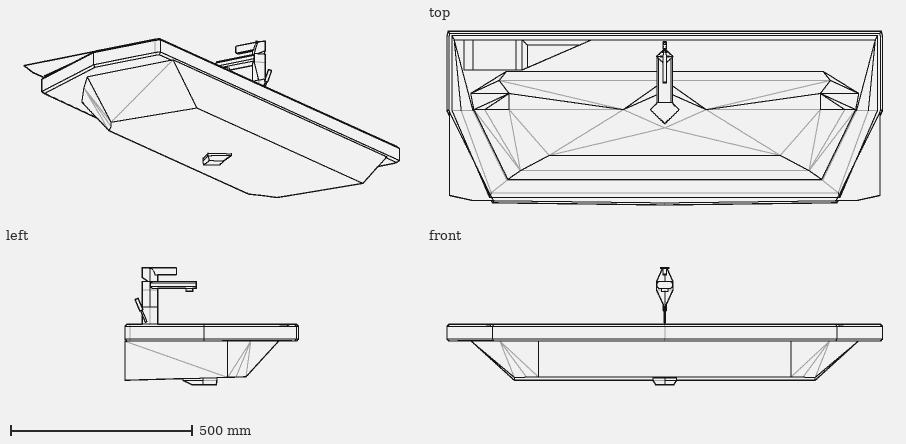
import cadquery as cq


half_width = 602.0
depth = 480.0
rim_height = 47.0
rim_chamfer = 6.0
corner_start_y = -219.0
front_half_width = 476.0
front_end_y = -475.0
back_corner_x = 4.0
back_corner_y = 15.0

sheet_thickness = 1.0
sheet_half_width = 595.0
sheet_bend_y = -454.0
sheet_tip_x = 530.0
sheet_front_y = -468.0
lower_sheet_start = (-572.0, -253.0)
lower_sheet_tip = (-566.0, -452.0)
lower_sheet_end = (-472.0, -461.0)

deck_z = -7.0
recess_half_width = 588.0
recess_back_y = -12.0
recess_front_half_width = 484.0
recess_front_y = -459.0
ledge_z = -5.0
ledge_half_width = 562.0
ledge_front_half_width = 479.0
ledge_front_y = -447.0
deck_half_width = 582.0
deck_back_y = -24.0
deck_side_half_width = 530.0
deck_front_half_width = 436.0
deck_front_y = -412.0

under_half_width = 535.0
under_side_y = -284.0
under_bend_x = 455.0
under_bend_y = -348.0
under_front_half_width = 349.0
under_front_y = -425.0
base_half_width = 415.0
base_bend_x = 382.0
base_bend_y = -307.0
base_front_y = -335.0
base_back_z = -155.0
base_front_z = -146.0

bowl_clearance = 6.0
drain_y = -217.0
drain_floor_z = -113.0
edge_back_x = 437.0
edge_back_y = -111.0
edge_corner_x = 536.0
edge_corner_y = -172.0
edge_side_x = 527.0
edge_front_x = 433.0
edge_front_y = -409.0
step_half_width = 458.0
step_y = -136.0
step_z = -30.0
wall_side_x = 497.0
wall_side_z = -40.0
wall_front_x = 399.0
wall_front_y = -385.0
wall_front_z = -37.0
floor_half_width = 430.0
floor_back_z = -72.0
floor_z = -78.0
floor_front_x = 319.0
floor_front_y = -343.0
panel_half_width = 114.0
panel_back_y = -166.0
panel_front_y = -267.0

opening_back_y = -24.0
opening_front_y = -107.0
opening_left_x = -554.0
opening_right_x = -202.0
block_left_x = -394.0
block_top_z = -17.0
block_chamfer = 15.0
opening_wall = 5.0

cap_radius = 40.0
cap_height = 5.0
flange_half_width = 33.0
flange_back_y = -160.0
flange_front_y = -255.0
drain_bottom_half_width = 25.0
drain_bottom_back_y = -185.0
drain_bottom_front_y = -253.0
drain_bottom_z = -167.0

tap_y = -70.0
tap_half_depth = 22.0
tap_half_width = 23.0
blade_half_width = 1.0
blade_top_z = 47.0
column_wide_z = 94.0
column_top_z = 118.0
spout_half_width = 22.0
spout_end_y = -197.0
spout_bottom_z = 99.0
spout_chamfer = 5.0
aerator_y = -178.0
aerator_radius = 10.0
aerator_bottom_z = 90.0
rod_top = (0, -33.0, 70.0)
rod_middle = (0, -46.0, 39.0)
rod_bottom = (0, -59.0, 6.0)
rod_grip_radius = 5.0
rod_radius = 2.0

lever_top_z = 157.0
lever_half_width = 5.4
lever_end_y = -143.0
lever_bottom_z = 136.0
lever_end_chamfer = 2.0
notch_front_y = -64.0
notch_back_z = 129.0
crossbar_half_length = 12.0
crossbar_size = 2.0


def mirrored(points):
    """Complete a right-hand outline, listed from back to front, with its left-hand half."""
    return points + [(-x, y) for x, y in reversed(points) if x > 0]


def prism(points, bottom_z, top_z):
    return cq.Workplane("XY").workplane(offset=bottom_z).polyline(points).close().extrude(top_z - bottom_z)


def ruled_loft(lower, lower_z, upper, upper_z):
    return (
        cq.Workplane("XY")
        .workplane(offset=lower_z)
        .polyline(lower)
        .close()
        .workplane(offset=upper_z - lower_z)
        .polyline(upper)
        .close()
        .loft(ruled=True)
    )


def faceted_solid(points, faces):
    """Solid bounded by flat triangles; each face is a list of point names and is split as a fan."""
    triangles = []
    for face in faces:
        for second, third in zip(face[1:-1], face[2:]):
            corners = [cq.Vector(*points[name]) for name in (face[0], second, third)]
            triangles.append(cq.Face.makeFromWires(cq.Wire.makePolygon(corners, close=True)))
    return cq.Workplane(obj=cq.Solid.makeSolid(cq.Shell.makeShell(triangles)))


def symmetric_faceted_solid(half_points, half_faces):
    """Faceted solid from its right half; points on X = 0 are shared by both halves."""
    points = dict(half_points)
    twin = {}
    for name, (x, y, z) in half_points.items():
        twin[name] = name if x == 0 else name + "_left"
        points[twin[name]] = (-x, y, z)
    left_faces = [[twin[name] for name in face] for face in half_faces]
    return faceted_solid(points, half_faces + left_faces)


def rhombus(half_x, half_y, center_y):
    return [(half_x, center_y), (0, center_y - half_y), (-half_x, center_y), (0, center_y + half_y)]


def rim():
    outline = mirrored(
        [
            (half_width - back_corner_x, 0),
            (half_width, -back_corner_y),
            (half_width, corner_start_y),
            (front_half_width, front_end_y),
            (0, -depth),
        ]
    )
    return prism(outline, -rim_height, 0).faces("|Z").edges().chamfer(rim_chamfer)


def corner_sheets():
    outline = mirrored(
        [
            (sheet_half_width, corner_start_y),
            (sheet_half_width, sheet_bend_y),
            (sheet_tip_x, sheet_front_y),
            (front_half_width, sheet_front_y),
        ]
    )
    upper = prism(outline, -sheet_thickness, 0)
    lower_outline = [lower_sheet_start, lower_sheet_tip, lower_sheet_end]
    lower = prism(lower_outline, -rim_height, -rim_height + sheet_thickness)
    return upper.union(lower)


def base_z(y):
    """Height of the slightly sloping base at a given Y."""
    return base_back_z + (base_front_z - base_back_z) * y / base_front_y


def underside():
    points = {
        "top_middle_back": (0, 0, -rim_height),
        "top_back": (under_half_width, 0, -rim_height),
        "top_side": (under_half_width, under_side_y, -rim_height),
        "top_bend": (under_bend_x, under_bend_y, -rim_height),
        "top_front": (under_front_half_width, under_front_y, -rim_height),
        "top_middle_front": (0, under_front_y, -rim_height),
        "base_middle_back": (0, 0, base_back_z),
        "base_back": (base_half_width, 0, base_back_z),
        "base_side": (base_half_width, under_side_y, base_z(under_side_y)),
        "base_bend": (base_bend_x, base_bend_y, base_z(base_bend_y)),
        "base_front": (under_front_half_width, base_front_y, base_front_z),
        "base_middle_front": (0, base_front_y, base_front_z),
    }
    faces = [
        ["top_middle_back", "top_back", "top_side", "top_bend", "top_front", "top_middle_front"],
        ["base_middle_back", "base_back", "base_side", "base_bend", "base_front", "base_middle_front"],
        ["top_middle_back", "top_back", "base_back", "base_middle_back"],
        ["top_back", "top_side", "base_side", "base_back"],
        ["top_bend", "base_bend", "base_side", "top_side"],
        ["top_bend", "top_front", "base_front", "base_bend"],
        ["top_front", "top_middle_front", "base_middle_front", "base_front"],
    ]
    return symmetric_faceted_solid(points, faces)


def deck_recess():
    """Recess whose borders slope from the rim down to the deck around the bowl."""
    upper = mirrored(
        [
            (recess_half_width, recess_back_y),
            (recess_half_width, corner_start_y),
            (recess_front_half_width, recess_front_y),
        ]
    )
    ledge = mirrored(
        [
            (deck_half_width, deck_back_y),
            (ledge_half_width, corner_start_y),
            (ledge_front_half_width, ledge_front_y),
        ]
    )
    lower = mirrored(
        [
            (deck_half_width, deck_back_y),
            (deck_side_half_width, corner_start_y),
            (deck_front_half_width, deck_front_y),
        ]
    )
    return ruled_loft(ledge, ledge_z, upper, 0).union(ruled_loft(lower, deck_z, ledge, ledge_z))


def bowl_cavity():
    """Faceted bowl that falls from the deck to a flat panel around the drain."""
    edge = {
        "middle_back": (0, edge_back_y),
        "back": (edge_back_x, edge_back_y),
        "corner": (edge_corner_x, edge_corner_y),
        "side": (edge_side_x, drain_y),
        "front": (edge_front_x, edge_front_y),
        "middle_front": (0, edge_front_y),
    }
    points = {
        "step_middle": (0, step_y, step_z),
        "step_side": (step_half_width, step_y, step_z),
        "wall_side": (wall_side_x, drain_y, wall_side_z),
        "wall_front": (wall_front_x, wall_front_y, wall_front_z),
        "wall_middle_front": (0, wall_front_y, wall_front_z),
        "floor_back": (floor_half_width, edge_corner_y, floor_back_z),
        "floor_side": (floor_half_width, drain_y, floor_z),
        "floor_front": (floor_front_x, floor_front_y, floor_z),
        "floor_middle_front": (0, floor_front_y, floor_z),
        "panel_back": (0, panel_back_y, drain_floor_z),
        "panel_side": (panel_half_width, drain_y, drain_floor_z),
        "panel_front": (0, panel_front_y, drain_floor_z),
    }
    for name, (x, y) in edge.items():
        points["edge_" + name] = (x, y, deck_z)
        points["lid_" + name] = (x, y, deck_z + bowl_clearance)
    faces = [
        ["lid_middle_back", "lid_back", "lid_corner", "lid_side", "lid_front", "lid_middle_front"],
        ["lid_middle_back", "lid_back", "edge_back", "edge_middle_back"],
        ["lid_back", "lid_corner", "edge_corner", "edge_back"],
        ["lid_corner", "lid_side", "edge_side", "edge_corner"],
        ["lid_side", "lid_front", "edge_front", "edge_side"],
        ["lid_front", "lid_middle_front", "edge_middle_front", "edge_front"],
        ["edge_middle_back", "edge_back", "step_side", "step_middle"],
        ["edge_back", "edge_corner", "step_side"],
        ["edge_corner", "floor_back", "step_side"],
        ["floor_back", "edge_corner", "edge_side", "wall_side", "floor_side"],
        ["edge_side", "edge_front", "wall_front", "wall_side"],
        ["wall_front", "wall_side", "floor_side", "floor_front"],
        ["edge_front", "edge_middle_front", "wall_middle_front", "wall_front"],
        ["wall_front", "wall_middle_front", "floor_middle_front", "floor_front"],
        ["panel_side", "step_middle", "step_side", "floor_back", "floor_side"],
        ["panel_side", "step_middle", "panel_back"],
        ["panel_side", "floor_side", "floor_front", "panel_front"],
        ["panel_front", "floor_front", "floor_middle_front"],
        ["panel_back", "panel_side", "panel_front"],
    ]
    return symmetric_faceted_solid(points, faces)


def deck_opening():
    """Opening left of the tap: deep beside the side wall, shallow over an inner block."""
    plan = prism(
        [
            (opening_left_x, opening_back_y),
            (opening_right_x, opening_back_y),
            (block_left_x, opening_front_y),
            (opening_left_x, opening_front_y),
        ],
        base_back_z,
        0,
    )
    opening_floor_z = base_back_z + 2 * opening_wall
    section = [
        (opening_left_x, 0),
        (opening_left_x, -rim_height + opening_wall),
        (-under_half_width + opening_wall, -rim_height + opening_wall),
        (-base_half_width + opening_wall, opening_floor_z),
        (opening_right_x, opening_floor_z),
        (opening_right_x, 0),
    ]
    block = (
        cq.Workplane("XY")
        .box(
            opening_right_x - block_left_x,
            opening_back_y - opening_front_y,
            block_top_z - opening_floor_z,
            centered=False,
        )
        .translate((block_left_x, opening_front_y, opening_floor_z))
        .faces(">Z")
        .edges("<X or >Y")
        .chamfer(block_chamfer)
    )
    return plan.intersect(cq.Workplane("XZ").polyline(section).close().extrude(depth)).cut(block)


def drain_outlet():
    flange = [
        (flange_half_width, drain_y),
        (0, flange_front_y),
        (-flange_half_width, drain_y),
        (0, flange_back_y),
    ]
    outlet = [
        (drain_bottom_half_width, drain_y),
        (0, drain_bottom_front_y),
        (-drain_bottom_half_width, drain_y),
        (0, drain_bottom_back_y),
    ]
    shank = prism(flange, base_back_z, drain_floor_z)
    return shank.union(ruled_loft(outlet, drain_bottom_z, flange, base_back_z))


def build_drain():
    cap = prism(rhombus(cap_radius, cap_radius, drain_y), drain_floor_z, drain_floor_z + cap_height)
    return drain_outlet().union(cap)


def build_basin():
    body = rim().union(corner_sheets()).union(underside())
    body = body.cut(deck_recess()).cut(bowl_cavity()).cut(deck_opening())
    return body.cut(drain_outlet())


def tap_column():
    blade = rhombus(blade_half_width, tap_half_depth, tap_y)
    wide = rhombus(tap_half_width, tap_half_depth, tap_y)
    return (
        prism(blade, deck_z, blade_top_z)
        .union(ruled_loft(blade, blade_top_z, wide, column_wide_z))
        .union(prism(wide, column_wide_z, column_top_z))
    )


def spout():
    length = tap_y - spout_end_y
    bar = (
        cq.Workplane("XY")
        .box(2 * spout_half_width, length, column_top_z - spout_bottom_z, centered=(True, False, False))
        .edges("|Y")
        .chamfer(spout_chamfer)
        .translate((0, spout_end_y, spout_bottom_z))
    )
    aerator = (
        cq.Workplane("XY")
        .workplane(offset=aerator_bottom_z)
        .center(0, aerator_y)
        .circle(aerator_radius)
        .extrude(column_top_z - aerator_bottom_z - spout_chamfer)
    )
    return bar.union(aerator)


def straight_rod(start, end, radius):
    axis = cq.Vector(*end) - cq.Vector(*start)
    return cq.Workplane(obj=cq.Solid.makeCylinder(radius, axis.Length, cq.Vector(*start), axis))


def lift_rod():
    grip = straight_rod(rod_top, rod_middle, rod_grip_radius)
    return grip.union(straight_rod(rod_top, rod_bottom, rod_radius))


def build_tap():
    return tap_column().union(spout()).union(lift_rod())


def build_lever():
    wide = rhombus(tap_half_width, tap_half_depth, tap_y)
    blade = rhombus(lever_half_width, tap_half_depth, tap_y)
    head = ruled_loft(wide, column_top_z, blade, lever_top_z)
    back_y = tap_y + tap_half_depth
    notch = (
        cq.Workplane("YZ")
        .polyline([(notch_front_y, column_top_z), (back_y, column_top_z), (back_y, notch_back_z)])
        .close()
        .extrude(tap_half_width, both=True)
    )
    arm = (
        cq.Workplane("XY")
        .box(
            2 * lever_half_width,
            tap_y - lever_end_y,
            lever_top_z - lever_bottom_z,
            centered=(True, False, False),
        )
        .faces("<Y")
        .edges("|X")
        .chamfer(lever_end_chamfer)
        .translate((0, lever_end_y, lever_bottom_z))
    )
    crossbar = (
        cq.Workplane("XY")
        .box(2 * crossbar_half_length, crossbar_size, crossbar_size)
        .translate((0, tap_y, lever_top_z - crossbar_size / 2))
    )
    return head.cut(notch).union(arm).union(crossbar)


basin = build_basin()
drain = build_drain()
tap = build_tap()
lever = build_lever()
basin = basin.cut(tap)

result = cq.Compound.makeCompound([body.solids().val() for body in (basin, drain, tap, lever)])